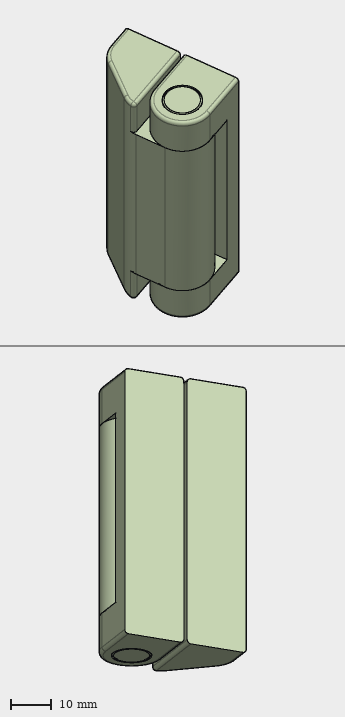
import cadquery as cq

height = 70.0
overall_width = 33.0
depth = 21.5
leaf_width = 16.0

barrel_radius = leaf_width / 2
axis_x = overall_width - barrel_radius
axis_y = barrel_radius - depth
pin_radius = 5.0
pin_chamfer = 0.5

end_knuckle_height = 10.0
middle_height = height - 2 * end_knuckle_height
barrel_back_y = axis_y + barrel_radius
web_back_y = -5.75

side_corner_y = -10.0
front_corner_x = 14.0
slope_radius = 7.0

edge_radius = 1.0
root_radius = 1.3


def sloped_block(width):
    """Full-height block with a sloped front left side and rounded slope corners."""
    block = (
        cq.Workplane("XY")
        .polyline([(0, 0), (width, 0), (width, -depth), (front_corner_x, -depth), (0, side_corner_y)])
        .close()
        .extrude(height)
    )
    for corner in [(0, side_corner_y), (front_corner_x, -depth)]:
        edge = cq.selectors.NearestToPointSelector((*corner, height / 2))
        block = block.edges("|Z").edges(edge).fillet(slope_radius)
    return block


def rim_edges(leaf):
    """Top and bottom edges except those on the mounting face."""
    return leaf.edges("(>Z or <Z) and (not >Y)")


def make_pin():
    return pin_cylinder().faces("|Z").edges().chamfer(pin_chamfer)


def pin_cylinder():
    """Full-height cylinder shared by the pin and its bores."""
    return cq.Workplane("XY").center(axis_x, axis_y).circle(pin_radius).extrude(height)


def middle_knuckle():
    """Barrel and the web that joins it to the wide leaf, following the leaf's rounded front."""
    web_zone = (
        cq.Workplane("XY", origin=(0, 0, end_knuckle_height))
        .moveTo(front_corner_x, -depth)
        .lineTo(axis_x, -depth)
        .lineTo(axis_x, web_back_y)
        .lineTo(front_corner_x, web_back_y)
        .close()
        .extrude(middle_height)
    )
    barrel = (
        cq.Workplane("XY", origin=(0, 0, end_knuckle_height))
        .center(axis_x, axis_y)
        .circle(barrel_radius)
        .extrude(middle_height)
    )
    return sloped_block(axis_x).intersect(web_zone).union(barrel)


def make_wide_leaf():
    trim = cq.Workplane("XY").rect(2 * leaf_width, 2 * depth).extrude(height)
    body = sloped_block(overall_width).intersect(trim)
    front_edge = cq.selectors.NearestToPointSelector((leaf_width, -depth, height / 2))
    body = body.edges("|Z").edges(front_edge).fillet(edge_radius)
    body = rim_edges(body).fillet(edge_radius)
    body = body.union(middle_knuckle())
    root_edge = cq.selectors.NearestToPointSelector((leaf_width, web_back_y, height / 2))
    body = body.edges("|Z").edges(root_edge).fillet(root_radius)
    return body.cut(pin_cylinder())


def make_pin_leaf():
    left_x = overall_width - leaf_width
    body = (
        cq.Workplane("XY")
        .moveTo(left_x, 0)
        .lineTo(left_x, axis_y)
        .threePointArc((axis_x, -depth), (overall_width, axis_y))
        .lineTo(overall_width, 0)
        .close()
        .extrude(height)
    )
    body = rim_edges(body).fillet(edge_radius)
    slot = (
        cq.Workplane("XY", origin=(0, 0, end_knuckle_height))
        .moveTo(left_x, -depth)
        .lineTo(overall_width, -depth)
        .lineTo(overall_width, barrel_back_y)
        .lineTo(left_x, barrel_back_y)
        .close()
        .extrude(middle_height)
    )
    return body.cut(slot).cut(pin_cylinder())


wide_leaf = make_wide_leaf()
pin_leaf = make_pin_leaf()
pin = make_pin()
result = cq.Compound.makeCompound([wide_leaf.solids().val(), pin_leaf.solids().val(), pin.solids().val()])